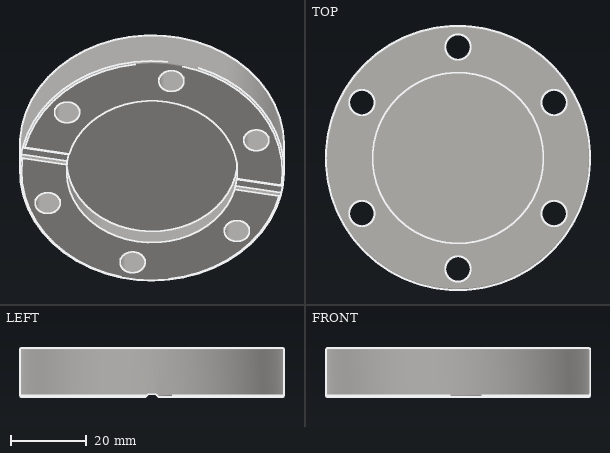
import cadquery as cq

flange_diameter = 70.0
flange_height = 13.0
edge_radius = 0.5

bore_diameter = 45.2
recess_depth = 5.3
window_thickness = flange_height - 2 * recess_depth

bolt_count = 6
bolt_circle_diameter = 58.7
bolt_hole_diameter = 6.65

groove_top_width = 2.1
groove_bottom_width = 3.5
groove_depth = 0.7


def make_bolt_holes():
    """Through holes, the first one on the +Y axis."""
    return (
        cq.Workplane("XY")
        .polarArray(bolt_circle_diameter / 2, 90, 360, bolt_count)
        .circle(bolt_hole_diameter / 2)
        .extrude(flange_height)
    )


def make_leak_grooves():
    """Sloped-sided channel along X, open at the bottom and at both rims."""
    return (
        cq.Workplane("YZ", origin=(-flange_diameter / 2, 0, 0))
        .moveTo(-groove_bottom_width / 2, 0)
        .lineTo(-groove_top_width / 2, groove_depth)
        .lineTo(groove_top_width / 2, groove_depth)
        .lineTo(groove_bottom_width / 2, 0)
        .close()
        .extrude(flange_diameter)
    )


def make_flange():
    """Ring with rounded rims, bolt holes and leak-check grooves."""
    blank = (
        cq.Workplane("XY")
        .circle(flange_diameter / 2)
        .extrude(flange_height)
        .edges()
        .fillet(edge_radius)
    )
    bore = cq.Workplane("XY").circle(bore_diameter / 2).extrude(flange_height)
    return blank.cut(bore).cut(make_bolt_holes()).cut(make_leak_grooves())


def make_window():
    """Disc across the bore, midway between the two flange faces."""
    return (
        cq.Workplane("XY", origin=(0, 0, recess_depth))
        .circle(bore_diameter / 2)
        .extrude(window_thickness)
    )


flange = make_flange()
window = make_window()

result = cq.Compound.makeCompound([flange.val(), window.val()])